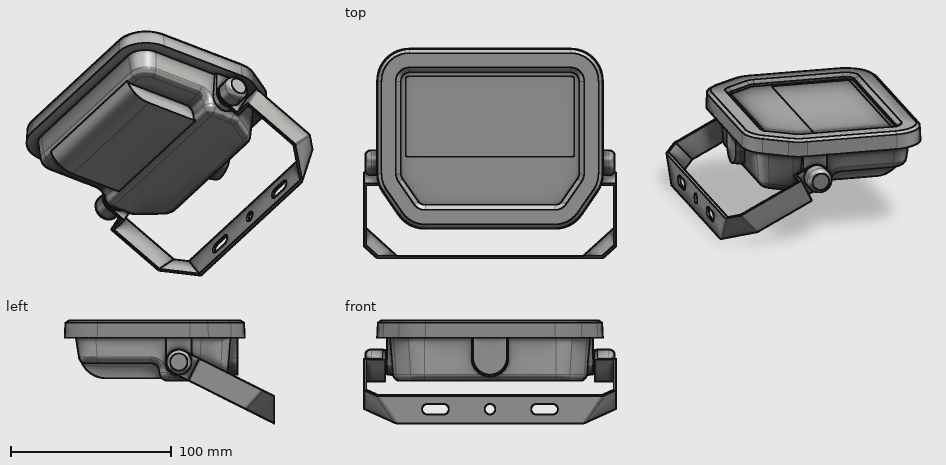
import cadquery as cq
import math


CORNER_X = 50.1
CORNER_X_FRONT = 40.3
CORNER_Y_BACK = 50.9
CORNER_Y_SIDE = -6.8
CORNER_Y_FRONT = -20.9

BEZEL_HEIGHT = 10.8
BEZEL_OFFSET = 20.3
BEZEL_DRAFT = 0.5
RIM_BEVEL_WIDTH = 2.4
RIM_BEVEL_HEIGHT = 1.5
WINDOW_OFFSET = 5.3
WINDOW_BEVEL_WIDTH = 3.1
WINDOW_BEVEL_DEPTH = 1.9
GLASS_DEPTH = 3.5

PANEL_HALF_WIDTH = 52.5
PANEL_Y_FRONT = 3.8
PANEL_Y_BACK = 53.7
PANEL_THICKNESS = 1.5
PANEL_CORNER_RADIUS = 1.4

HOUSING_OFFSET = 12.2
HOUSING_DRAFT_ANGLE = 5.0
HOUSING_BACK_SHIFT_HIGH = 1.0
HOUSING_BACK_SHIFT_LOW = -0.8
HOUSING_FRONT_SHIFT = 1.0
HOUSING_DEPTH = 37.7
SHALLOW_DEPTH = 26.7
STEP_Y = 12.1
STEP_RADIUS = (HOUSING_DEPTH - SHALLOW_DEPTH) / 2
BOTTOM_RADIUS = 4.5
HUMP_HALF_WIDTH = 44.0
HUMP_DEPTH = 36.1
HUMP_Y_BACK = 62.2
HUMP_RADIUS = 17.1
FRONT_PAD_Y = -36.6
FRONT_PAD_RADIUS = 10.5
FRONT_PAD_CENTER_Z = -23.2
SIDE_PAD_X = 64.2
SIDE_PAD_RADIUS = 7.7
PAD_ROOT = 7.0
PAD_FLARE_ANGLE = 10.0

PIVOT_Z = -25.9
KNOB_RADIUS = 7.8
KNOB_FACE_RADIUS = 5.3
KNOB_END_X = 77.5
KNOB_DOME_LENGTH = 3.6
SHAFT_DIAMETER = 4.2
SHAFT_TIP_X = 58.1

SHEET = 1.5
BRACKET_HALF_WIDTH = 78.5
BRACKET_FRONT_Y = -59.5
STRAP_ANGLE = 26.6
STRAP_WIDTH = 15.2
EAR_INNER_X = 65.2
EAR_HOLE_DIAMETER = 4.4
JOG_FRONT = 12.0
JOG_BEND_RADIUS = 0.6
FOLD_RADIUS = 1.4
FOLD_TOP_X = 70.2
FOLD_BOTTOM_X = 58.4
FOLD_SIDE_Y = -52.0
MOUNT_HOLE_DIAMETER = 6.5
SLOT_LENGTH = 16.5
SLOT_X = 33.9
MOUNT_HOLE_Z = -55.3
REACH = 188.4

STRAP_SLOPE = math.tan(math.radians(STRAP_ANGLE))
STRAP_HALF_HEIGHT = STRAP_WIDTH / 2 / math.cos(math.radians(STRAP_ANGLE))


def outline(offset, z, back_shift=0, front_shift=0):
    """Rounded hexagonal outline at height z; the shifts move its back and front edges along Y."""
    back_y = CORNER_Y_BACK + back_shift
    front_y = CORNER_Y_FRONT + front_shift
    front_x = CORNER_X_FRONT + front_shift * (CORNER_X - CORNER_X_FRONT) / (CORNER_Y_SIDE - CORNER_Y_FRONT)
    corners = [
        (CORNER_X, back_y),
        (-CORNER_X, back_y),
        (-CORNER_X, CORNER_Y_SIDE),
        (-front_x, front_y),
        (front_x, front_y),
        (CORNER_X, CORNER_Y_SIDE),
    ]
    return cq.Workplane("XY", origin=(0, 0, z)).polyline(corners).close().offset2D(offset)


def ruled_block(low, high):
    """Solid with straight walls between two outlines."""
    return cq.Workplane(cq.Solid.makeLoft([low.val(), high.val()], True))


def tapered_block(low_offset, low_z, high_offset, high_z):
    """Solid between two offset outlines at different heights."""
    return ruled_block(outline(low_offset, low_z), outline(high_offset, high_z))


def make_bezel():
    shoulder = BEZEL_OFFSET - BEZEL_DRAFT
    skirt = tapered_block(BEZEL_OFFSET, -BEZEL_HEIGHT, shoulder, -RIM_BEVEL_HEIGHT)
    rim = tapered_block(shoulder, -RIM_BEVEL_HEIGHT, shoulder - RIM_BEVEL_WIDTH, 0)
    opening = outline(WINDOW_OFFSET, -BEZEL_HEIGHT).extrude(BEZEL_HEIGHT)
    bevel = tapered_block(WINDOW_OFFSET, -WINDOW_BEVEL_DEPTH, WINDOW_OFFSET + WINDOW_BEVEL_WIDTH, 0)
    return skirt.union(rim).cut(opening).cut(bevel)


def make_panel():
    depth = PANEL_Y_BACK - PANEL_Y_FRONT
    center_y = (PANEL_Y_BACK + PANEL_Y_FRONT) / 2
    return (
        cq.Workplane("XY", origin=(0, center_y, -GLASS_DEPTH))
        .rect(2 * PANEL_HALF_WIDTH, depth)
        .extrude(-PANEL_THICKNESS)
        .edges("|Z")
        .fillet(PANEL_CORNER_RADIUS)
    )


def make_glass(panel):
    plate = outline(WINDOW_OFFSET, -BEZEL_HEIGHT).extrude(BEZEL_HEIGHT - GLASS_DEPTH)
    return plate.cut(panel)


def housing_shell():
    """Drafted body, deep at the front and shallow at the back, with a rounded bottom edge."""
    height = HOUSING_DEPTH - BEZEL_HEIGHT
    shrink = height * math.tan(math.radians(HOUSING_DRAFT_ANGLE))
    body = ruled_block(
        outline(HOUSING_OFFSET - shrink, -HOUSING_DEPTH, HOUSING_BACK_SHIFT_LOW, HOUSING_FRONT_SHIFT),
        outline(HOUSING_OFFSET, -BEZEL_HEIGHT, HOUSING_BACK_SHIFT_HIGH, HOUSING_FRONT_SHIFT),
    )
    relief = (
        cq.Workplane("YZ", origin=(-REACH / 2, 0, 0))
        .moveTo(STEP_Y - STEP_RADIUS, -HOUSING_DEPTH)
        .radiusArc((STEP_Y, -HOUSING_DEPTH + STEP_RADIUS), -STEP_RADIUS)
        .radiusArc((STEP_Y + STEP_RADIUS, -SHALLOW_DEPTH), STEP_RADIUS)
        .lineTo(REACH, -SHALLOW_DEPTH)
        .lineTo(REACH, -HOUSING_DEPTH)
        .close()
        .extrude(REACH)
    )
    body = body.cut(relief)
    return body.faces("<Z").edges("<Y").fillet(BOTTOM_RADIUS)


def housing_hump():
    """Central hump below the shallow back part, rounded up to the back wall."""
    return (
        cq.Workplane("YZ", origin=(-HUMP_HALF_WIDTH, 0, 0))
        .moveTo(0, -SHALLOW_DEPTH + BOTTOM_RADIUS)
        .lineTo(0, -HUMP_DEPTH)
        .lineTo(HUMP_Y_BACK - HUMP_RADIUS, -HUMP_DEPTH)
        .radiusArc((HUMP_Y_BACK, -HUMP_DEPTH + HUMP_RADIUS), -HUMP_RADIUS)
        .lineTo(0, -HUMP_DEPTH + HUMP_RADIUS)
        .close()
        .extrude(2 * HUMP_HALF_WIDTH)
    )


def pad_outline(plane, radius, drop):
    """Straight-sided outline with a semicircular lower end, closed at height drop above its centre."""
    return (
        plane.moveTo(-radius, drop)
        .lineTo(-radius, 0)
        .threePointArc((0, -radius), (radius, 0))
        .lineTo(radius, drop)
        .close()
        .wire()
    )


def round_ended_pad(plane, radius, center_z):
    """Pad hanging from the bezel, widening from its face back into the housing."""
    drop = -BEZEL_HEIGHT - center_z
    root_radius = radius + PAD_ROOT * math.tan(math.radians(PAD_FLARE_ANGLE))
    face = pad_outline(plane, radius, drop)
    root = pad_outline(plane.workplane(offset=-PAD_ROOT), root_radius, drop)
    return ruled_block(face, root)


def make_housing():
    body = housing_shell().union(housing_hump())
    front_plane = cq.Workplane("XZ", origin=(0, FRONT_PAD_Y, FRONT_PAD_CENTER_Z))
    body = body.union(round_ended_pad(front_plane, FRONT_PAD_RADIUS, FRONT_PAD_CENTER_Z))
    side_plane = cq.Workplane("YZ", origin=(SIDE_PAD_X, 0, PIVOT_Z))
    side_pad = round_ended_pad(side_plane, SIDE_PAD_RADIUS, PIVOT_Z)
    bore = (
        cq.Workplane("YZ", origin=(SHAFT_TIP_X, 0, PIVOT_Z))
        .circle(SHAFT_DIAMETER / 2)
        .extrude(REACH)
    )
    body = body.union(side_pad).union(side_pad.mirror("YZ"))
    return body.cut(bore).cut(bore.mirror("YZ"))


def make_knob(side):
    """Domed knob with a plain shaft, side is +1 or -1 along X."""
    shaft = SHAFT_DIAMETER / 2
    knob = (
        cq.Workplane("XY", origin=(0, 0, PIVOT_Z))
        .moveTo(SHAFT_TIP_X, 0)
        .lineTo(SHAFT_TIP_X, shaft)
        .lineTo(EAR_INNER_X + SHEET, shaft)
        .lineTo(EAR_INNER_X + SHEET, KNOB_RADIUS)
        .lineTo(KNOB_END_X - KNOB_DOME_LENGTH, KNOB_RADIUS)
        .tangentArcPoint((KNOB_END_X, KNOB_FACE_RADIUS), relative=False)
        .lineTo(KNOB_END_X, 0)
        .close()
        .revolve(360, (0, 0, 0), (1, 0, 0))
    )
    return knob if side > 0 else knob.mirror("YZ")


def strap_top_z(y):
    return PIVOT_Z + STRAP_HALF_HEIGHT + y * STRAP_SLOPE


def strap_envelope(inset):
    """Block bounded by the arms, the front web and the two slanted corners, moved inward by inset."""
    half_width = BRACKET_HALF_WIDTH - inset
    front_y = BRACKET_FRONT_Y + inset
    block = cq.Workplane("XY").box(2 * half_width, REACH, REACH).translate((0, front_y + REACH / 2, 0))

    fold_top = cq.Vector(FOLD_TOP_X, BRACKET_FRONT_Y, strap_top_z(BRACKET_FRONT_Y))
    fold_bottom = cq.Vector(FOLD_BOTTOM_X, BRACKET_FRONT_Y, fold_top.z - 2 * STRAP_HALF_HEIGHT)
    fold_side = cq.Vector(BRACKET_HALF_WIDTH, FOLD_SIDE_Y, strap_top_z(FOLD_SIDE_Y))
    outward = (fold_bottom - fold_top).cross(fold_side - fold_top).normalized()
    corner_plane = cq.Plane(fold_top - outward * inset, fold_bottom - fold_top, outward)
    corner = cq.Workplane(corner_plane).rect(2 * REACH, 2 * REACH).extrude(REACH)
    return block.cut(corner).cut(corner.mirror("YZ"))


def round_folds(envelope):
    """Round the edges on both sides of the two slanted corner faces."""
    corner_edges = envelope.faces("not(#X or #Y or #Z)").edges("not #Z")
    return corner_edges.fillet(FOLD_RADIUS)


def strap_frame(x):
    """Plane parallel to the arms at x: local x runs down the strap, local y across its width."""
    angle = math.radians(STRAP_ANGLE)
    return cq.Plane((x, 0, PIVOT_Z), (0, -math.cos(angle), -math.sin(angle)), (-1, 0, 0))


def bracket_ear():
    """Ear around the knob shaft and the jog that joins it to the arm at +X."""
    half = STRAP_WIDTH / 2
    jog_back = JOG_FRONT - SHEET
    ear_outer_x = EAR_INNER_X + SHEET
    down = strap_frame(0).xDir
    across = cq.Plane((0, 0, PIVOT_Z), down, down.cross(cq.Vector(1, 0, 0)))
    folded = (
        cq.Workplane(across)
        .moveTo(-half, EAR_INNER_X)
        .lineTo(JOG_FRONT - JOG_BEND_RADIUS, EAR_INNER_X)
        .tangentArcPoint((JOG_BEND_RADIUS, JOG_BEND_RADIUS))
        .lineTo(JOG_FRONT, BRACKET_HALF_WIDTH)
        .lineTo(jog_back + JOG_BEND_RADIUS, BRACKET_HALF_WIDTH)
        .tangentArcPoint((-JOG_BEND_RADIUS, -JOG_BEND_RADIUS))
        .lineTo(jog_back, ear_outer_x)
        .lineTo(-half, ear_outer_x)
        .close()
        .extrude(half, both=True)
    )
    side_outline = (
        cq.Workplane(strap_frame(BRACKET_HALF_WIDTH))
        .moveTo(JOG_FRONT, half)
        .lineTo(0, half)
        .threePointArc((-half, 0), (0, -half))
        .lineTo(JOG_FRONT, -half)
        .close()
        .extrude(BRACKET_HALF_WIDTH)
    )
    hole = (
        cq.Workplane(strap_frame(BRACKET_HALF_WIDTH))
        .circle(EAR_HOLE_DIAMETER / 2)
        .extrude(BRACKET_HALF_WIDTH)
    )
    return folded.intersect(side_outline).cut(hole)


def make_bracket():
    band = (
        cq.Workplane(strap_frame(REACH / 2))
        .center(JOG_FRONT + REACH / 2, 0)
        .rect(REACH, STRAP_WIDTH)
        .extrude(REACH)
    )
    outside = round_folds(strap_envelope(0))
    strap = outside.cut(strap_envelope(SHEET)).intersect(band)
    ear = bracket_ear()
    strap = strap.union(ear).union(ear.mirror("YZ"))
    front = cq.Workplane("XZ", origin=(0, BRACKET_FRONT_Y, MOUNT_HOLE_Z))
    hole = front.circle(MOUNT_HOLE_DIAMETER / 2).extrude(-2 * SHEET)
    slots = front.pushPoints([(-SLOT_X, 0), (SLOT_X, 0)]).slot2D(SLOT_LENGTH, MOUNT_HOLE_DIAMETER)
    return strap.cut(hole).cut(slots.extrude(-2 * SHEET))


bezel = make_bezel()
panel = make_panel()
glass = make_glass(panel)
housing = make_housing()
bracket = make_bracket()
knobs = [make_knob(side) for side in (-1, 1)]

result = cq.Compound.makeCompound(
    [bezel.val(), glass.val(), panel.val(), housing.val(), bracket.val(), *[knob.val() for knob in knobs]]
)